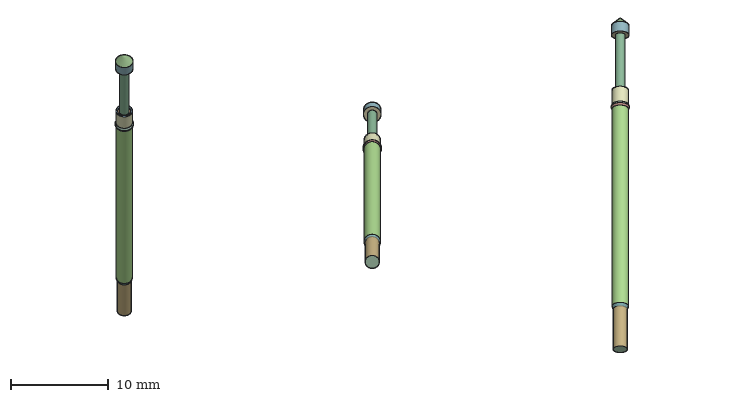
import cadquery as cq

total_length = 38.35

barrel_diameter = 1.7
barrel_top = 30.0
barrel_bottom = 5.0
taper_height = 0.35
tail_diameter = 1.45

ring_diameter = 1.9
ring_height = 0.45
ring_middle = 28.05

mouth_diameter = 1.35
mouth_depth = 0.1
guide_depth = 1.9

shaft_diameter = 1.0
head_diameter = 1.8
tip_height = head_diameter / 2
head_height = 1.1


def revolve_about_z(outline):
    """Close an outline drawn as radius and height, and revolve it about the Z axis."""
    return outline.close().revolve(360, (0, 0), (0, 1))


def make_barrel():
    """Barrel with its press ring, tapered step to the tail and stepped blind bore."""
    barrel_radius = barrel_diameter / 2
    taper_bottom = barrel_bottom - taper_height
    mouth_bottom = barrel_top - mouth_depth
    guide_bottom = mouth_bottom - guide_depth
    ring_bottom = ring_middle - ring_height / 2
    ring_top = ring_middle + ring_height / 2
    outline = (
        cq.Workplane("XZ")
        .lineTo(tail_diameter / 2, 0)
        .lineTo(tail_diameter / 2, taper_bottom)
        .lineTo(barrel_radius, barrel_bottom)
        .lineTo(barrel_radius, ring_bottom)
        .lineTo(ring_diameter / 2, ring_middle)
        .lineTo(barrel_radius, ring_top)
        .lineTo(barrel_radius, barrel_top)
        .lineTo(mouth_diameter / 2, barrel_top)
        .lineTo(mouth_diameter / 2, mouth_bottom)
        .lineTo(shaft_diameter / 2, mouth_bottom)
        .lineTo(shaft_diameter / 2, guide_bottom)
        .lineTo(0, guide_bottom)
    )
    return revolve_about_z(outline)


def make_plunger():
    """Plunger shaft that rests on the bore floor, with a conical head."""
    shaft_bottom = barrel_top - mouth_depth - guide_depth
    tip_base = total_length - tip_height
    head_bottom = tip_base - head_height
    outline = cq.Workplane("XZ").polyline([
        (0, shaft_bottom),
        (shaft_diameter / 2, shaft_bottom),
        (shaft_diameter / 2, head_bottom),
        (head_diameter / 2, head_bottom),
        (head_diameter / 2, tip_base),
        (0, total_length),
    ])
    return revolve_about_z(outline)


barrel = make_barrel()
plunger = make_plunger()

result = cq.Compound.makeCompound([barrel.val(), plunger.val()])